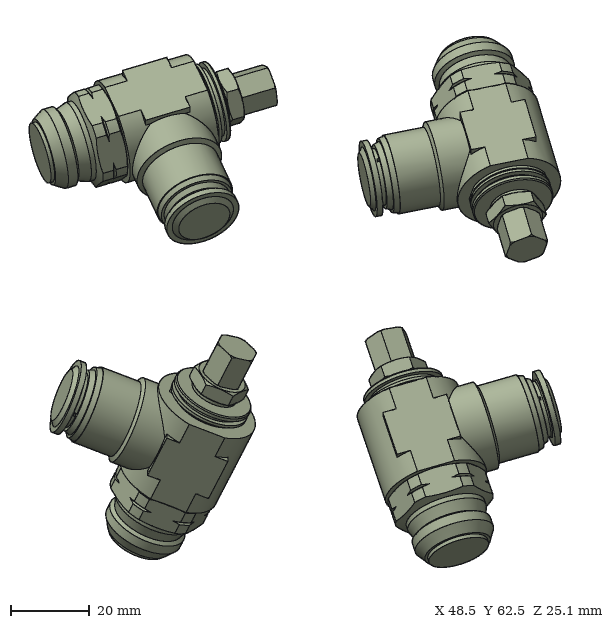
import cadquery as cq
import math


OVERALL_LENGTH = 62.5

BODY_RADIUS = 13.5
BODY_LENGTH = 24.2
BODY_HALF_LENGTH = BODY_LENGTH / 2
BODY_HALF_HEIGHT = 12.55
PAD_WIDTH = 17.0
PAD_LENGTH = BODY_LENGTH / 2
PAD_FLOOR = 9.4

STEM_TIP_Y = 30.95
STEM_HEX_ACROSS_FLATS = 10.0
STEM_HEX_TURN = 43.5
STEM_HEX_END_RADIUS = 5.3
STEM_HEX_CHAMFER = 0.3

NUT_TOP_Y = 21.55
NUT_BOTTOM_Y = 17.5
NUT_ACROSS_FLATS = 13.1
NUT_TURN = 4.5
NUT_END_RADIUS = 6.45
NUT_CHAMFER = 0.5

NECK_RADIUS = 6.1
COLLAR_RADIUS = 10.5
COLLAR_EDGE = 0.3
COLLAR_TOP_Y = 16.45
GROOVE_RADIUS = 9.05
GROOVE_TOP_Y = 15.25
GROOVE_BOTTOM_Y = 13.95
COLLAR_BOTTOM_Y = 13.2

STOP_TOP_Y = 12.9
STOP_FLAT_HEIGHT = 5.0
STOP_DROP = 0.9

HEX_ACROSS_FLATS = 24.0
HEX_CORNER_RADIUS = 13.0
HEX_UPPER_RADIUS = 11.75
HEX_UPPER_CHAMFER = 0.55
HEX_LOWER_CHAMFER = 0.95
HEX_BOTTOM_Y = -20.2
MARK_Y = -16.05
MARK_DEPTH = 0.6
MARK_HALF_WIDTH = 0.4

THREAD_RADIUS = COLLAR_RADIUS
SEAT_TOP_Y = -21.5
SEAT_BOTTOM_Y = -24.5
SEAT_RADIUS = 9.45
BAND_TOP_Y = -25.2
BAND_BOTTOM_Y = -27.75
NOSE_Y = -30.55
NOSE_RADIUS = 8.75
TIP_RADIUS = 8.0
TIP_Y = STEM_TIP_Y - OVERALL_LENGTH

COLLAR_END_X = 16.9
SHOULDER_X = 17.55
BRANCH_COLLAR_RADIUS = 11.5
SLEEVE_RADIUS = 10.25
SLEEVE_END_X = 28.05
RIM_END_X = 29.55
RIM_START_RADIUS = 10.0
RIM_END_RADIUS = 9.6
GUIDE_END_X = 31.05
GUIDE_START_RADIUS = 8.9
GUIDE_END_RADIUS = 8.3
RELEASE_NECK_RADIUS = 7.4
RELEASE_FLARE_X = 32.1
RELEASE_FLARE_RADIUS = 7.7
RELEASE_START_X = 32.5
RELEASE_RADIUS = 9.8
RELEASE_END_X = 34.0
RELEASE_LIP_RADIUS = 8.3
RELEASE_LIP_END_RADIUS = 6.95
BRANCH_TIP_X = 35.05
SLIT_LENGTH = 0.55
SLIT_WIDTH = 0.9


def turned_along_y(radius_y_points):
    """Solid of revolution about Y from (radius, y) points, closed on the axis."""
    first_y = radius_y_points[0][1]
    last_y = radius_y_points[-1][1]
    outline = [(0, first_y)] + radius_y_points + [(0, last_y)]
    return cq.Workplane("XY").polyline(outline).close().revolve(360, (0, 0, 0), (0, 1, 0))


def turned_along_x(x_radius_points):
    """Solid of revolution about X from (x, radius) points, closed on the axis."""
    first_x = x_radius_points[0][0]
    last_x = x_radius_points[-1][0]
    outline = [(first_x, 0)] + x_radius_points + [(last_x, 0)]
    return cq.Workplane("XY").polyline(outline).close().revolve(360, (0, 0, 0), (1, 0, 0))


def corner_radius(across_flats):
    """Distance from the centre of a hexagon to its corners."""
    return across_flats / math.sqrt(3)


def hex_prism(across_flats, top_y, bottom_y, turn):
    """Hexagonal bar along Y; turn is the angle of one corner from +X toward +Z."""
    radius = corner_radius(across_flats)
    corners = []
    for side in range(6):
        angle = math.radians(turn + 60 * side)
        corners.append((radius * math.cos(angle), radius * math.sin(angle)))
    bar = cq.Workplane("XZ", origin=(0, bottom_y, 0)).polyline(corners).close()
    return bar.extrude(-(top_y - bottom_y))


def chamfered_hex(across_flats, top_y, bottom_y, turn, end_radius, chamfer):
    """Hexagonal bar with its corners turned down conically at both ends."""
    radius = corner_radius(across_flats)
    envelope = turned_along_y([
        (end_radius, bottom_y),
        (radius, bottom_y + chamfer),
        (radius, top_y - chamfer),
        (end_radius, top_y),
    ])
    return hex_prism(across_flats, top_y, bottom_y, turn).intersect(envelope)


def make_body():
    """Round body cut flat above and below, with a square grip pad level with each flat."""
    height = 2 * BODY_HALF_HEIGHT
    body = cq.Workplane("XZ").circle(BODY_RADIUS).extrude(BODY_HALF_LENGTH, both=True)
    body = body.intersect(cq.Workplane("XY").box(2 * BODY_RADIUS, BODY_LENGTH, height))
    pad_height = BODY_HALF_HEIGHT - PAD_FLOOR
    pad_middle = (BODY_HALF_HEIGHT + PAD_FLOOR) / 2
    for side in (1, -1):
        pad = cq.Workplane("XY").box(PAD_WIDTH, PAD_LENGTH, pad_height)
        body = body.union(pad.translate((0, 0, side * pad_middle)))
    return body


def make_stem():
    """Stem hexagon, lock nut, neck and grooved collar."""
    knob = chamfered_hex(STEM_HEX_ACROSS_FLATS, STEM_TIP_Y, NUT_TOP_Y, STEM_HEX_TURN,
                         STEM_HEX_END_RADIUS, STEM_HEX_CHAMFER)
    nut = chamfered_hex(NUT_ACROSS_FLATS, NUT_TOP_Y, NUT_BOTTOM_Y, NUT_TURN,
                        NUT_END_RADIUS, NUT_CHAMFER)
    collar = turned_along_y([
        (NECK_RADIUS, NUT_BOTTOM_Y),
        (NECK_RADIUS, COLLAR_TOP_Y),
        (COLLAR_RADIUS - COLLAR_EDGE, COLLAR_TOP_Y),
        (COLLAR_RADIUS, COLLAR_TOP_Y - COLLAR_EDGE),
        (COLLAR_RADIUS, GROOVE_TOP_Y),
        (GROOVE_RADIUS, GROOVE_TOP_Y),
        (GROOVE_RADIUS, GROOVE_BOTTOM_Y),
        (COLLAR_RADIUS, GROOVE_BOTTOM_Y),
        (COLLAR_RADIUS, COLLAR_BOTTOM_Y),
        (GROOVE_RADIUS, COLLAR_BOTTOM_Y),
        (GROOVE_RADIUS, BODY_HALF_LENGTH),
    ])
    return knob.union(nut).union(collar)


def make_stop():
    """Upper half ring on the body end, with a flat beside each of its lower tips."""
    flat_x = math.sqrt(COLLAR_RADIUS ** 2 - STOP_FLAT_HEIGHT ** 2)
    outline = (
        cq.Workplane("XZ", origin=(0, BODY_HALF_LENGTH, 0))
        .moveTo(-GROOVE_RADIUS, -STOP_DROP)
        .lineTo(-COLLAR_RADIUS, 0)
        .lineTo(-flat_x, STOP_FLAT_HEIGHT)
        .threePointArc((0, COLLAR_RADIUS), (flat_x, STOP_FLAT_HEIGHT))
        .lineTo(COLLAR_RADIUS, 0)
        .lineTo(GROOVE_RADIUS, -STOP_DROP)
        .close()
    )
    return outline.extrude(-(STOP_TOP_Y - BODY_HALF_LENGTH))


def make_large_hex():
    """Hexagon with rounded corners, conical ends and a V mark around the corners."""
    top_y = -BODY_HALF_LENGTH
    envelope = turned_along_y([
        (HEX_UPPER_RADIUS, top_y),
        (HEX_CORNER_RADIUS, top_y - HEX_UPPER_CHAMFER),
        (HEX_CORNER_RADIUS, MARK_Y + MARK_HALF_WIDTH),
        (HEX_CORNER_RADIUS - MARK_DEPTH, MARK_Y),
        (HEX_CORNER_RADIUS, MARK_Y - MARK_HALF_WIDTH),
        (HEX_CORNER_RADIUS, HEX_BOTTOM_Y + HEX_LOWER_CHAMFER),
        (THREAD_RADIUS, HEX_BOTTOM_Y),
    ])
    return hex_prism(HEX_ACROSS_FLATS, top_y, HEX_BOTTOM_Y, 0).intersect(envelope)


def make_threaded_end():
    """Plain thread envelope with a tapered seat, a band and a conical nose."""
    return turned_along_y([
        (THREAD_RADIUS, HEX_BOTTOM_Y),
        (THREAD_RADIUS, SEAT_TOP_Y),
        (SEAT_RADIUS, SEAT_BOTTOM_Y),
        (THREAD_RADIUS, BAND_TOP_Y),
        (THREAD_RADIUS, BAND_BOTTOM_Y),
        (NOSE_RADIUS, NOSE_Y),
        (TIP_RADIUS, NOSE_Y),
        (TIP_RADIUS, TIP_Y),
    ])


def make_branch():
    """Tube branch: collar, sleeve, stepped guide and release ring with a slit neck."""
    branch = turned_along_x([
        (0, BRANCH_COLLAR_RADIUS),
        (COLLAR_END_X, BRANCH_COLLAR_RADIUS),
        (SHOULDER_X, SLEEVE_RADIUS),
        (SLEEVE_END_X, SLEEVE_RADIUS),
        (SLEEVE_END_X, RIM_START_RADIUS),
        (RIM_END_X, RIM_END_RADIUS),
        (RIM_END_X, GUIDE_START_RADIUS),
        (GUIDE_END_X, GUIDE_END_RADIUS),
        (GUIDE_END_X, RELEASE_NECK_RADIUS),
        (RELEASE_FLARE_X, RELEASE_NECK_RADIUS),
        (RELEASE_START_X, RELEASE_FLARE_RADIUS),
        (RELEASE_START_X, RELEASE_RADIUS),
        (RELEASE_END_X, RELEASE_RADIUS),
        (RELEASE_END_X, RELEASE_LIP_RADIUS),
        (BRANCH_TIP_X, RELEASE_LIP_END_RADIUS),
    ])
    slit = cq.Workplane("XY").box(SLIT_LENGTH, SLIT_WIDTH, 2 * RELEASE_RADIUS)
    return branch.cut(slit.translate((GUIDE_END_X + SLIT_LENGTH / 2, 0, 0)))


result = make_body()
for piece in (make_stem(), make_stop(), make_large_hex(), make_threaded_end(), make_branch()):
    result = result.union(piece)